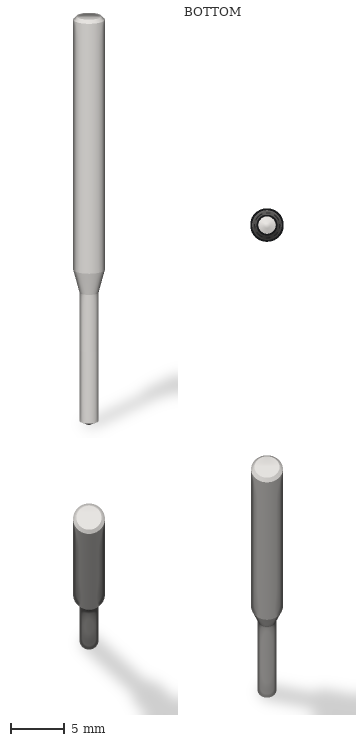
import cadquery as cq
import math

overall_length = 40.0
shank_diameter = 3.0
drill_diameter = 1.8

point_angle = 130.0
head_length = 7.4

neck_top = 13.0
taper_half_angle = 15.0
chamfer_width = 0.3
chamfer_height = 0.3

shank_radius = shank_diameter / 2
drill_radius = drill_diameter / 2
point_height = drill_radius / math.tan(math.radians(point_angle / 2))
taper_height = (shank_radius - drill_radius) / math.tan(math.radians(taper_half_angle))
shank_bottom = neck_top + taper_height


def revolve_about_z(profile):
    """Turn a closed (radius, height) profile about the Z axis."""
    return cq.Workplane("XZ").polyline(profile).close().revolve(360, (0, 0, 0), (0, 1, 0))


def make_cutting_head():
    """Plain cylindrical drill head with a conical point."""
    return revolve_about_z([
        (0, 0),
        (drill_radius, point_height),
        (drill_radius, head_length),
        (0, head_length),
    ])


def make_holder():
    """Neck, taper and shank with a chamfered top end."""
    return revolve_about_z([
        (0, head_length),
        (drill_radius, head_length),
        (drill_radius, neck_top),
        (shank_radius, shank_bottom),
        (shank_radius, overall_length - chamfer_height),
        (shank_radius - chamfer_width, overall_length),
        (0, overall_length),
    ])


cutting_head = make_cutting_head()
holder = make_holder()

result = cq.Compound.makeCompound([cutting_head.val(), holder.val()])